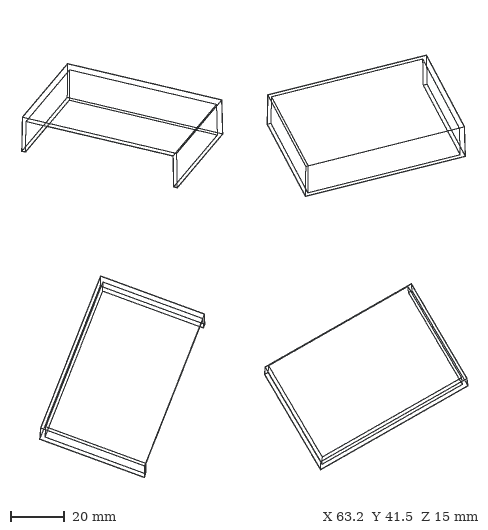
import cadquery as cq
import math

LENGTH = 63.2
WIDTH = 41.5
HEIGHT = 15.0

WALL = 1.5
DRAFT_ANGLE = 1.0


def drafted_block(length, front, back, height):
    """Block standing on Z = 0 with an upright front and inward-leaning sides and back."""
    lean = height * math.tan(math.radians(DRAFT_ANGLE))
    bottom_width = back - front
    top_width = bottom_width - lean
    return (
        cq.Workplane("XY", origin=(0, front + bottom_width / 2, 0))
        .rect(length, bottom_width)
        .workplane(offset=height)
        .center(0, -lean / 2)
        .rect(length - 2 * lean, top_width)
        .loft(ruled=True)
    )


back_face = WIDTH / 2
shell = drafted_block(LENGTH, -back_face, back_face, HEIGHT)

cavity_front = -WIDTH
cavity = drafted_block(LENGTH - 2 * WALL, cavity_front, back_face - WALL, HEIGHT - WALL)

result = shell.cut(cavity)